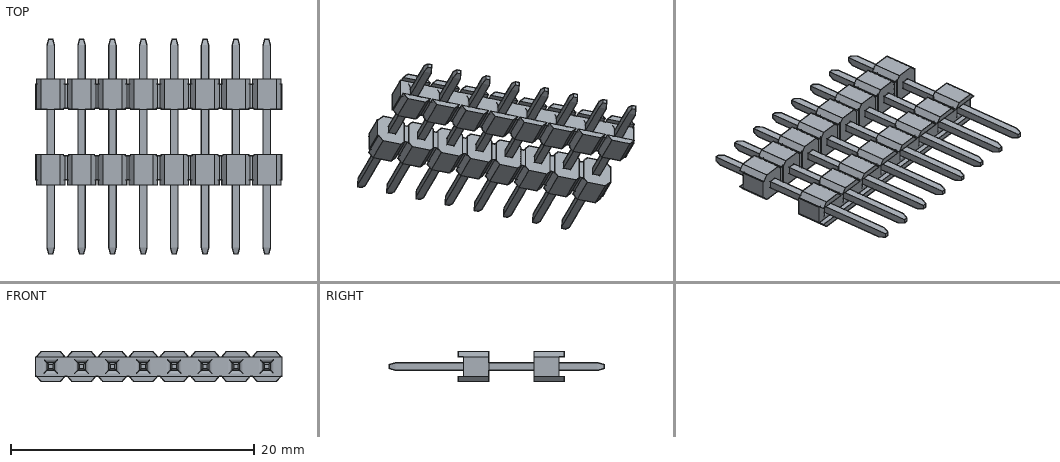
import cadquery as cq


overall_length = 20.32
pin_count = 8
pitch = overall_length / pin_count

pin_length = 17.7
pin_width = 0.63
tip_width = 0.35
tip_length = 0.53

housing_height = 2.5
housing_depth = 2.52
core_height = 1.6
outer_recess = 0.43
cap_base_width = 2.35
cap_top_width = 1.56
notch_width = 0.4
notch_depth = 0.1
hole_mouth_radius = 0.3

front_inner_y = -0.65
back_inner_y = 3.05

core_depth = housing_depth - outer_recess
cap_height = (housing_height - core_height) / 2

pin_positions = [(i - (pin_count - 1) / 2) * pitch for i in range(pin_count)]
gap_positions = [x + pitch / 2 for x in pin_positions[:-1]]


def make_core():
    """Straight bar that joins all caps; its inner face lies at Y = 0 and it extends toward -Y."""
    core = cq.Workplane("XY").box(overall_length, core_depth, core_height)
    return core.translate((0, -core_depth / 2, 0))


def make_cap_pair(x):
    """Upper and lower caps at one pin: prisms with bevelled sides above and below the core."""
    half_base = cap_base_width / 2
    half_top = cap_top_width / 2
    half_core = core_height / 2
    upper_cap = (
        cq.Workplane("XZ")
        .moveTo(x - half_base, half_core)
        .lineTo(x - half_top, half_core + cap_height)
        .lineTo(x + half_top, half_core + cap_height)
        .lineTo(x + half_base, half_core)
        .close()
        .extrude(housing_depth)
    )
    return upper_cap.union(upper_cap.mirror("XY"))


def make_notch(x):
    """Shallow full-height groove in the inner face between two neighbouring pins."""
    notch = cq.Workplane("XY").box(notch_width, 2 * notch_depth, housing_height)
    return notch.translate((x, 0, 0))


def make_pin_hole(x):
    """Square through-hole of the core for one pin."""
    return cq.Workplane("XZ").center(x, 0).rect(pin_width, pin_width).extrude(core_depth)


def round_hole_mouths(housing):
    """Round the outer rims of all pin holes, so that each hole flares toward the outer face of the core."""
    outer_face = housing.faces(cq.selectors.NearestToPointSelector((0, -core_depth, 0)))
    rim_edges = [edge for rim in outer_face.val().innerWires() for edge in rim.Edges()]
    return housing.newObject(rim_edges).fillet(hole_mouth_radius)


def make_housing():
    """Housing with its inner face at Y = 0 and its recessed outer side toward -Y."""
    housing = make_core()
    for x in pin_positions:
        housing = housing.union(make_cap_pair(x))
    for x in gap_positions:
        housing = housing.cut(make_notch(x))
    for x in pin_positions:
        housing = housing.cut(make_pin_hole(x))
    return round_hole_mouths(housing)


def make_pin(x):
    """Square pin centred on Y = 0 with a tapered tip at each end."""
    shank_length = pin_length - 2 * tip_length
    pin = cq.Workplane("XY").box(pin_width, shank_length, pin_width)
    for face in ("<Y", ">Y"):
        pin = (
            pin.faces(face)
            .workplane()
            .rect(pin_width, pin_width)
            .workplane(offset=tip_length)
            .rect(tip_width, tip_width)
            .loft(ruled=True, combine=True)
        )
    return pin.translate((x, 0, 0))


front_housing = make_housing().translate((0, front_inner_y, 0))
back_housing = make_housing().mirror("XZ").translate((0, back_inner_y, 0))
pins = [make_pin(x) for x in pin_positions]

result = cq.Compound.makeCompound([
    front_housing.solids().val(),
    back_housing.solids().val(),
    *[pin.solids().val() for pin in pins],
])